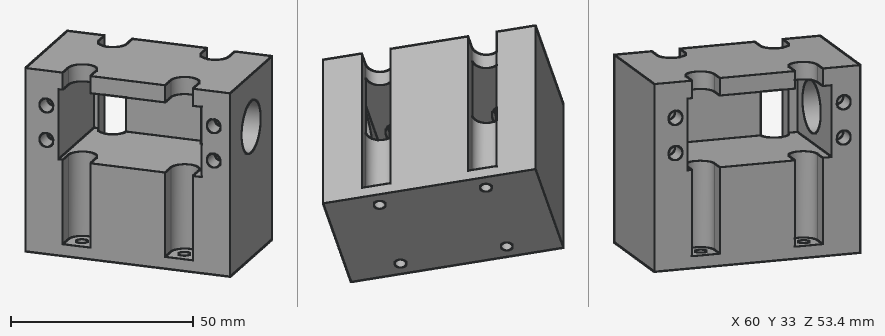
import cadquery as cq

length = 60.0
depth = 33.0
height = 53.4

slot_width = 8.1
slot_radius = slot_width / 2
slot_spacing_x = 30.0
slot_reach = 8.6
slot_floor = 3.5
bolt_spacing_y = 24.6
bolt_diameter = 3.25

window_width = 42.0
window_height = 20.4
opening_center_x = 0.65
roof_thickness = 5.0
rear_wall = 5.0
window_top = height - roof_thickness
window_center_z = window_top - window_height / 2

screw_diameter = 4.0
screw_depth = 6.0
screw_spacing_x = 49.0
screw_spacing_z = 10.0
screw_center_z = 38.2

side_hole_diameter = 15.0


def corner_slot(x, side):
    """Round-ended vertical slot with a bolt hole; side is -1 for front, 1 for back."""
    face_y = side * depth / 2
    arc_y = side * (depth / 2 - slot_reach + slot_radius)
    slot_height = height - slot_floor
    straight = cq.Workplane("XY").box(
        slot_width, abs(face_y - arc_y), slot_height, centered=(True, True, False)
    ).translate((x, (face_y + arc_y) / 2, slot_floor))
    round_end = (
        cq.Workplane("XY", origin=(x, arc_y, slot_floor))
        .circle(slot_radius)
        .extrude(slot_height)
    )
    bolt_hole = (
        cq.Workplane("XY", origin=(x, side * bolt_spacing_y / 2, 0))
        .circle(bolt_diameter / 2)
        .extrude(height)
    )
    return straight.union(round_end).union(bolt_hole)


def window_pocket():
    pocket_depth = depth - rear_wall
    return cq.Workplane("XY").box(window_width, pocket_depth, window_height).translate(
        (opening_center_x, -rear_wall / 2, window_center_z)
    )


def screw_holes():
    return (
        cq.Workplane("XZ", origin=(opening_center_x, -depth / 2, screw_center_z))
        .rarray(screw_spacing_x, screw_spacing_z, 2, 2)
        .circle(screw_diameter / 2)
        .extrude(-screw_depth)
    )


def side_hole():
    return (
        cq.Workplane("YZ", origin=(opening_center_x, 0, window_center_z))
        .circle(side_hole_diameter / 2)
        .extrude(length / 2)
    )


result = cq.Workplane("XY").box(length, depth, height, centered=(True, True, False))
for slot_x in (-slot_spacing_x / 2, slot_spacing_x / 2):
    for slot_side in (-1, 1):
        result = result.cut(corner_slot(slot_x, slot_side))
result = result.cut(window_pocket()).cut(screw_holes()).cut(side_hole())